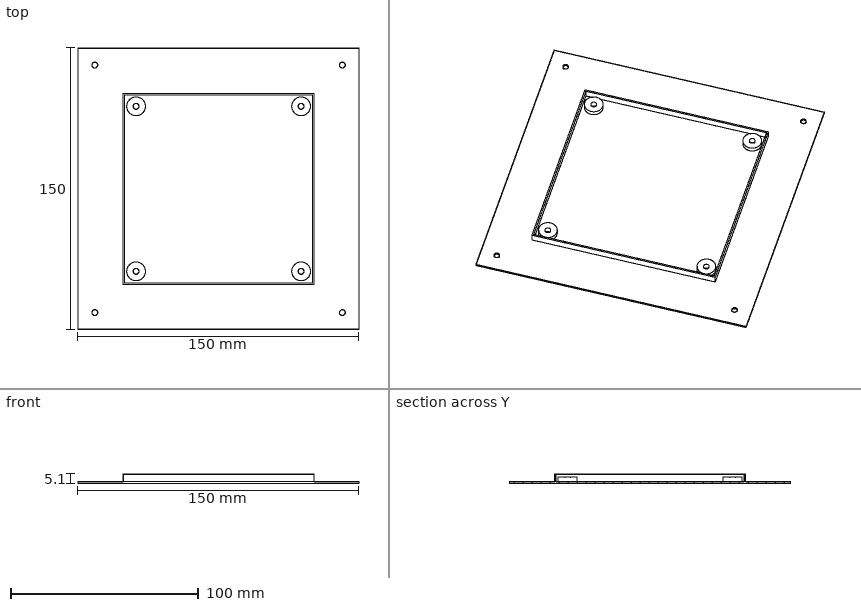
import cadquery as cq

plate_side = 150.0
plate_thickness = 1.0
total_height = 5.1

frame_inner_side = 100.2
frame_wall = 0.8
frame_outer_side = frame_inner_side + 2 * frame_wall
frame_height = total_height - plate_thickness

hole_diameter = 3.0
plate_hole_spacing = 132.0
boss_spacing = 88.0
boss_diameter = 10.0
boss_height = 2.5


def make_plate():
    return cq.Workplane("XY").rect(plate_side, plate_side).extrude(plate_thickness)


def make_frame():
    return (
        cq.Workplane("XY", origin=(0, 0, plate_thickness))
        .rect(frame_outer_side, frame_outer_side)
        .rect(frame_inner_side, frame_inner_side)
        .extrude(frame_height)
    )


def at_square_corners(spacing, base_height):
    """Place the four corners of a centred square at the given height."""
    return (
        cq.Workplane("XY", origin=(0, 0, base_height))
        .rect(spacing, spacing, forConstruction=True)
        .vertices()
    )


def make_bosses():
    return at_square_corners(boss_spacing, plate_thickness).circle(boss_diameter / 2).extrude(boss_height)


def make_through_holes(spacing):
    return at_square_corners(spacing, 0).circle(hole_diameter / 2).extrude(total_height)


result = make_plate().union(make_frame()).union(make_bosses())
for hole_spacing in (plate_hole_spacing, boss_spacing):
    result = result.cut(make_through_holes(hole_spacing))